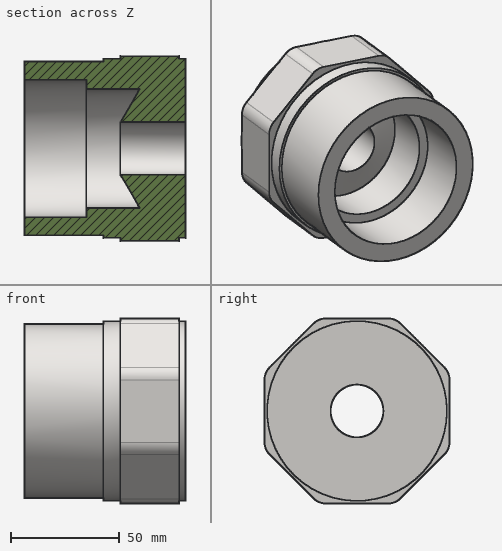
import cadquery as cq
import math

socket_end = 36.25
collar_end = 44.0
octagon_end = 71.0
total_length = 74.0

socket_diameter = 80.0
collar_diameter = 82.5
octagon_sides = 8
octagon_width = 85.0
octagon_corner_radius = 8.0

bore_diameter = 63.0
bore_depth = 28.5
passage_diameter = 54.5
seat_hole_diameter = 24.12
seat_slope = 30.0
seat_tip = collar_end


def cylinder(diameter, start, end):
    """Round bar on the X axis between two X positions."""
    return cq.Workplane("YZ", origin=(start, 0, 0)).circle(diameter / 2).extrude(end - start)


def octagon():
    """Wrench section with flats square to Y and Z and rounded corners."""
    half_side_angle = 180.0 / octagon_sides
    across_corners = octagon_width / math.cos(math.radians(half_side_angle))
    return (
        cq.Workplane("YZ", origin=(collar_end, 0, 0))
        .transformed(rotate=(0, 0, half_side_angle))
        .polygon(octagon_sides, across_corners)
        .extrude(octagon_end - collar_end)
        .edges("|X")
        .fillet(octagon_corner_radius)
    )


def passage():
    """Passage behind the bore, closed by a conical seat that points back at the socket."""
    passage_radius = passage_diameter / 2
    hole_radius = seat_hole_diameter / 2
    seat_length = (passage_radius - hole_radius) * math.tan(math.radians(seat_slope))
    return (
        cq.Workplane("XZ")
        .moveTo(bore_depth, 0)
        .lineTo(bore_depth, passage_radius)
        .lineTo(seat_tip + seat_length, passage_radius)
        .lineTo(seat_tip, hole_radius)
        .lineTo(seat_tip, 0)
        .close()
        .revolve(360, (0, 0, 0), (1, 0, 0))
    )


body = (
    cylinder(socket_diameter, 0, socket_end)
    .union(cylinder(collar_diameter, socket_end, total_length))
    .union(octagon())
)

result = (
    body.cut(cylinder(bore_diameter, 0, bore_depth))
    .cut(passage())
    .cut(cylinder(seat_hole_diameter, seat_tip, total_length))
)